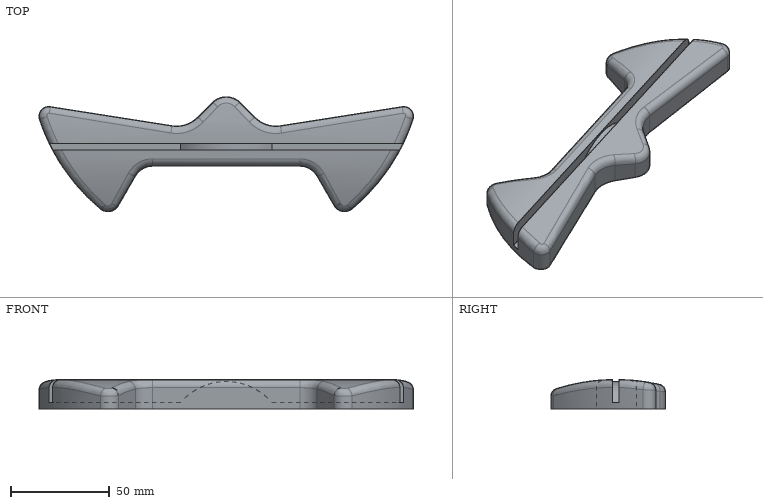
import cadquery as cq
import math

HEIGHT = 15.0

PEAK_Y = 29.45
VALLEY_X = 20.0
WING_SLOPE = 8.9
LEG_SLOPE = 60.0
FRONT_Y = -9.9
LEG_ROOT_X = 43.3
END_RADIUS = 100.0
END_CENTER_Y = 45.3
PEAK_ROUNDING = 10.0
VALLEY_ROUNDING = 15.0
LEG_ROOT_ROUNDING = 10.0
WING_TIP_ROUNDING = 5.0
LEG_TIP_ROUNDING = 6.0

CROWN_RADIUS = 100.0
TOP_EDGE_ROUNDING = 4.0

GROOVE_WIDTH = 3.5
GROOVE_FLOOR = 3.3
HUMP_TOP = 14.0
HUMP_HALF_LENGTH = 23.2

OVERSHOOT = 10.0


def end_circle_hit(x, y, angle):
    """Point where a ray from (x, y) at the given angle meets the end circle."""
    dx = math.cos(math.radians(angle))
    dy = math.sin(math.radians(angle))
    rise = y - END_CENTER_Y
    along = x * dx + rise * dy
    gap = x**2 + rise**2 - END_RADIUS**2
    distance = -along + math.sqrt(along**2 - gap)
    return (x + distance * dx, y + distance * dy)


VALLEY_Y = PEAK_Y - VALLEY_X
WING_TIP = end_circle_hit(VALLEY_X, VALLEY_Y, WING_SLOPE)
LEG_TIP = end_circle_hit(LEG_ROOT_X, FRONT_Y, -LEG_SLOPE)


def mirrored(point):
    """The point reflected across the plane X = 0."""
    return (-point[0], point[1])


def end_middle():
    """Point on the right end arc halfway between the wing tip and the leg tip."""
    wing_angle = math.atan2(WING_TIP[1] - END_CENTER_Y, WING_TIP[0])
    leg_angle = math.atan2(LEG_TIP[1] - END_CENTER_Y, LEG_TIP[0])
    angle = (wing_angle + leg_angle) / 2
    return (END_RADIUS * math.cos(angle), END_CENTER_Y + END_RADIUS * math.sin(angle))


def round_upright_edges(body, corners, radius):
    """Round the vertical edges that stand at the given outline corners."""
    for x, y in corners:
        nearest = cq.selectors.NearestToPointSelector((x, y, (HEIGHT + OVERSHOOT) / 2))
        body = body.edges("|Z").edges(nearest).fillet(radius)
    return body


def make_plate():
    """Plate with the rounded outline, tall enough to be trimmed by the crown."""
    valley = (VALLEY_X, VALLEY_Y)
    leg_root = (LEG_ROOT_X, FRONT_Y)
    peak = (0, PEAK_Y)
    plate = (
        cq.Workplane("XY")
        .moveTo(*peak)
        .lineTo(*valley)
        .lineTo(*WING_TIP)
        .threePointArc(end_middle(), LEG_TIP)
        .lineTo(*leg_root)
        .lineTo(*mirrored(leg_root))
        .lineTo(*mirrored(LEG_TIP))
        .threePointArc(mirrored(end_middle()), mirrored(WING_TIP))
        .lineTo(*mirrored(valley))
        .close()
        .extrude(HEIGHT + OVERSHOOT)
    )
    plate = round_upright_edges(plate, [peak], PEAK_ROUNDING)
    plate = round_upright_edges(plate, [valley, mirrored(valley)], VALLEY_ROUNDING)
    plate = round_upright_edges(plate, [leg_root, mirrored(leg_root)], LEG_ROOT_ROUNDING)
    plate = round_upright_edges(plate, [WING_TIP, mirrored(WING_TIP)], WING_TIP_ROUNDING)
    return round_upright_edges(plate, [LEG_TIP, mirrored(LEG_TIP)], LEG_TIP_ROUNDING)


def make_crown():
    """Long cylinder along X whose upper side reaches HEIGHT at both edges of the groove."""
    center_z = HEIGHT - math.sqrt(CROWN_RADIUS**2 - (GROOVE_WIDTH / 2) ** 2)
    return (
        cq.Workplane("YZ")
        .center(0, center_z)
        .circle(CROWN_RADIUS)
        .extrude(END_RADIUS, both=True)
    )


def make_groove():
    """Cutter for the groove: a straight channel less the arched hump on its floor."""
    channel_height = HEIGHT - GROOVE_FLOOR + OVERSHOOT
    channel = cq.Workplane("XY").workplane(offset=GROOVE_FLOOR).rect(2 * END_RADIUS, GROOVE_WIDTH)
    hump = (
        cq.Workplane("XZ")
        .moveTo(-HUMP_HALF_LENGTH, GROOVE_FLOOR)
        .threePointArc((0, HUMP_TOP), (HUMP_HALF_LENGTH, GROOVE_FLOOR))
        .close()
        .extrude(GROOVE_WIDTH, both=True)
    )
    return channel.extrude(channel_height).cut(hump)


body = make_plate().intersect(make_crown())
body = body.faces(">Z").edges().fillet(TOP_EDGE_ROUNDING)
result = body.cut(make_groove())